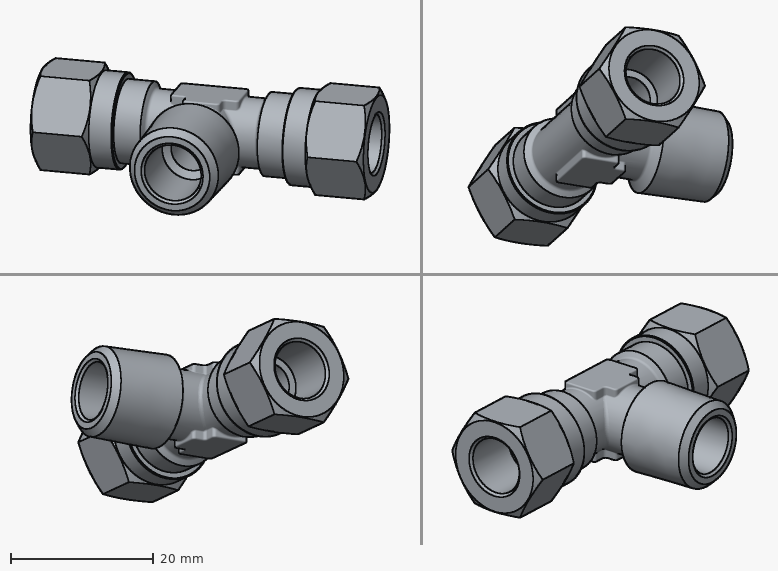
import cadquery as cq
import math

run_length = 48.65
half_run = run_length / 2
across_flats = 14.0
corner_radius = across_flats / math.sqrt(3)
overall_width = 28.05
branch_length = overall_width - corner_radius

hex_length = 8.5
collar_end = 12.4
collar_radius = 6.9
collar_chamfer = 0.15
nut_angle = 30.0

tube_radius = 5.0
neck_radius = 6.0
shoulder_outer = 8.55
shoulder_angle = 60.0
blend_radius = 0.5
valley_radius = 0.5

thread_radius = 6.7
thread_tip_radius = 6.45
thread_start = 8.95
tip_chamfer = 1.0
tip_radius = 5.5

bore_radius = 3.0
socket_radius = 4.15
socket_mouth_radius = 4.52
mouth_chamfer = 0.4
run_socket_depth = hex_length
branch_socket_depth = 9.75
drill_angle = 59.0

pad_height = 5.55
pad_half_width = 5.0
pad_back = 2.7
pad_shoulder = -2.9
stem_half_width = 2.72
stem_end = -4.9
pad_corner_radius = 0.5
pad_edge_fillet = 0.25
pad_base_low = 3.95
select_margin = 0.05


def shoulder_profile(profile, outer_distance, outer_radius):
    """Add a fillet off the tube and a cone up to outer_radius at outer_distance."""
    angle = math.radians(shoulder_angle)
    fillet_rise = blend_radius * (1 - math.cos(angle))
    fillet_run = blend_radius * math.sin(angle)
    cone_run = (outer_radius - tube_radius - fillet_rise) / math.tan(angle)
    cone_start = outer_distance - cone_run
    tangent = cone_start - fillet_run
    arc_middle = (
        tangent + blend_radius * math.sin(angle / 2),
        tube_radius + blend_radius * (1 - math.cos(angle / 2)),
    )
    return (
        profile.lineTo(tangent, tube_radius)
        .threePointArc(arc_middle, (cone_start, tube_radius + fillet_rise))
        .lineTo(outer_distance, outer_radius)
    )


def revolve_x(profile):
    """Close a half profile in the XY plane and turn it about the X axis."""
    return profile.close().revolve(360, (0, 0, 0), (1, 0, 0))


def point_along_branch(solid):
    """Turn a solid drawn along +X so that it points along -Y."""
    return solid.rotate((0, 0, 0), (0, 0, 1), -90)


def run_neck():
    """Body of the run on the +X side, from the centre to the nut collar."""
    profile = cq.Workplane("XY").lineTo(0, tube_radius)
    profile = shoulder_profile(profile, shoulder_outer, neck_radius)
    return revolve_x(profile.lineTo(collar_end, neck_radius).lineTo(collar_end, 0))


def nut():
    """Nut on the +X end: round collar and a hexagon with both ends chamfered."""
    hex_start = half_run - hex_length
    collar = (
        cq.Workplane("YZ", origin=(collar_end, 0, 0))
        .circle(collar_radius)
        .extrude(hex_start - collar_end)
        .faces("<X")
        .chamfer(collar_chamfer)
    )
    hexagon = (
        cq.Workplane("YZ", origin=(hex_start, 0, 0))
        .polygon(6, 2 * corner_radius)
        .extrude(hex_length)
    )
    chamfer_run = (corner_radius - collar_radius) * math.tan(math.radians(nut_angle))
    envelope = revolve_x(
        cq.Workplane("XY")
        .moveTo(hex_start, 0)
        .lineTo(hex_start, collar_radius)
        .lineTo(hex_start + chamfer_run, corner_radius)
        .lineTo(half_run - chamfer_run, corner_radius)
        .lineTo(half_run, collar_radius)
        .lineTo(half_run, 0)
    )
    return collar.union(hexagon.intersect(envelope))


def branch():
    """Branch tube, shoulder and tapered end."""
    profile = cq.Workplane("XY").lineTo(0, tube_radius)
    profile = shoulder_profile(profile, thread_start, thread_radius)
    solid = revolve_x(
        profile.lineTo(branch_length - tip_chamfer, thread_tip_radius)
        .lineTo(branch_length, tip_radius)
        .lineTo(branch_length, 0)
    )
    return point_along_branch(solid)


def socket(end, depth, floor_run):
    """Chamfered socket with a conical (or flat) floor and the bore leading to the centre, along +X."""
    return revolve_x(
        cq.Workplane("XY")
        .lineTo(0, bore_radius)
        .lineTo(end - depth - floor_run, bore_radius)
        .lineTo(end - depth, socket_radius)
        .lineTo(end - mouth_chamfer, socket_radius)
        .lineTo(end, socket_mouth_radius)
        .lineTo(end, 0)
    )


def pads():
    """T-shaped block through the tee whose top and bottom stand out as pads."""
    block = (
        cq.Workplane("XY", origin=(0, 0, -pad_height))
        .moveTo(-pad_half_width, pad_back)
        .lineTo(pad_half_width, pad_back)
        .lineTo(pad_half_width, pad_shoulder)
        .lineTo(stem_half_width, pad_shoulder)
        .lineTo(stem_half_width, stem_end)
        .lineTo(-stem_half_width, stem_end)
        .lineTo(-stem_half_width, pad_shoulder)
        .lineTo(-pad_half_width, pad_shoulder)
        .close()
        .extrude(2 * pad_height)
    )
    block = block.edges("|Z").fillet(pad_corner_radius)
    return block.faces("<Z or >Z").edges().fillet(pad_edge_fillet)


def pad_base_edges(body, side):
    """Edges where the pad walls on one side meet the tubes."""
    base = cq.selectors.BoxSelector(
        (-pad_half_width - select_margin, stem_end - select_margin, side * pad_base_low),
        (pad_half_width + select_margin, pad_back + select_margin, side * (tube_radius + select_margin)),
    )
    return body.edges(base).edges("not |Z")


def valley_edges(body):
    """Curved edges where the branch tube meets the run tube, between the pads."""
    region = cq.selectors.BoxSelector(
        (-tube_radius - select_margin, -tube_radius - select_margin, -pad_base_low),
        (tube_radius + select_margin, pad_shoulder, pad_base_low),
    )
    return body.edges(region).edges("%ELLIPSE")


neck = run_neck()
body = neck.union(neck.mirror("YZ")).union(branch()).union(pads())
body = valley_edges(body).fillet(valley_radius)
for side in (1, -1):
    body = pad_base_edges(body, side).fillet(pad_edge_fillet)

right_nut = nut()
body = body.union(right_nut).union(right_nut.mirror("YZ"))

run_socket = socket(half_run, run_socket_depth, floor_run=0)
drill_floor_run = (socket_radius - bore_radius) / math.tan(math.radians(drill_angle))
branch_socket = point_along_branch(socket(branch_length, branch_socket_depth, drill_floor_run))
result = body.cut(run_socket).cut(run_socket.mirror("YZ")).cut(branch_socket)